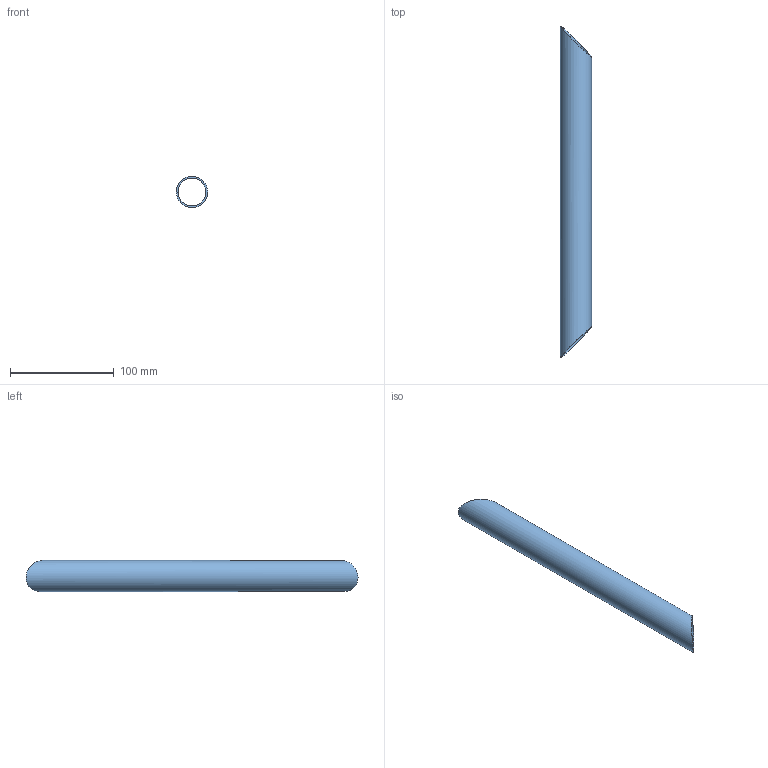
import cadquery as cq

outer_diameter = 30.0
wall_thickness = 1.5
long_side_length = 320.0
short_side_length = long_side_length - 2 * outer_diameter
roll_angle = 6.0

outer_radius = outer_diameter / 2
inner_radius = outer_radius - wall_thickness


def straight_tube():
    """Tube along Y, with its circles starting at the top (+Z)."""
    section_plane = cq.Plane(origin=(0, 0, 0), xDir=(0, 0, 1), normal=(0, 1, 0))
    ring = cq.Workplane(section_plane).circle(outer_radius).circle(inner_radius)
    return ring.extrude(long_side_length / 2, both=True)


def mitre_envelope():
    """Trapezoidal prism whose slanted ends trim the tube, long side at -X."""
    half_long = long_side_length / 2
    half_short = short_side_length / 2
    outline = [
        (-outer_radius, -half_long),
        (outer_radius, -half_short),
        (outer_radius, half_short),
        (-outer_radius, half_long),
    ]
    return cq.Workplane("XY").polyline(outline).close().extrude(outer_radius, both=True)


mitred_tube = straight_tube().intersect(mitre_envelope())

result = mitred_tube.rotate((0, 0, 0), (0, 1, 0), -roll_angle)